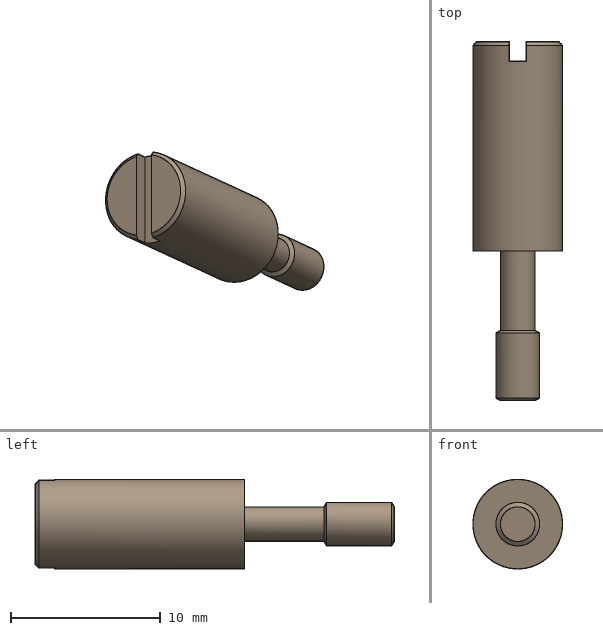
import cadquery as cq
import math


head_diameter = 6.0
head_length = 14.0
head_chamfer = 0.25

slot_width = 1.13
slot_depth = 1.3

overall_length = 24.0
tip_diameter = 2.92
tip_length = 4.7
tip_chamfer_depth = 0.3
tip_chamfer_angle = 30.0

shank_length = overall_length - head_length
neck_diameter = tip_diameter - 2 * tip_chamfer_depth
tip_chamfer_length = tip_chamfer_depth * math.tan(math.radians(tip_chamfer_angle))


def turned_body():
    """Revolve the half outline of head, neck and tip about the Y axis."""
    head_radius = head_diameter / 2
    neck_radius = neck_diameter / 2
    tip_radius = tip_diameter / 2
    tip_end = -shank_length
    tip_start = tip_end + tip_length
    outline = [
        (tip_end, 0),
        (tip_end, neck_radius),
        (tip_end + tip_chamfer_length, tip_radius),
        (tip_start - tip_chamfer_length, tip_radius),
        (tip_start, neck_radius),
        (0, neck_radius),
        (0, head_radius),
        (head_length - head_chamfer, head_radius),
        (head_length, head_radius - head_chamfer),
        (head_length, 0),
    ]
    return cq.Workplane("YZ").polyline(outline).close().revolve(360, (0, 0, 0), (1, 0, 0))


def screwdriver_slot():
    """Cutter for the slot, open at the head end and on both sides."""
    slot_center = (0, head_length - slot_depth / 2, 0)
    return cq.Workplane("XY").box(slot_width, slot_depth, head_diameter).translate(slot_center)


result = turned_body().cut(screwdriver_slot())